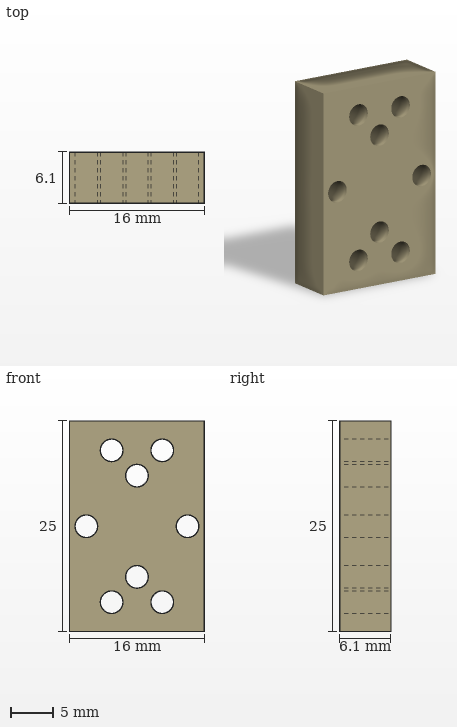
import cadquery as cq

width = 16.0
thickness = 6.1
height = 25.0

hole_diameter = 2.65
grid_pitch = 3.0

inner_offset = 2 * grid_pitch
corner_x = grid_pitch
corner_z = 3 * grid_pitch

inner_holes = [
    (-inner_offset, 0),
    (inner_offset, 0),
    (0, -inner_offset),
    (0, inner_offset),
]
corner_holes = [(sx * corner_x, sz * corner_z) for sx in (-1, 1) for sz in (-1, 1)]

block = cq.Workplane("XY").box(width, thickness, height)

cutters = (
    cq.Workplane("XZ")
    .pushPoints(inner_holes + corner_holes)
    .circle(hole_diameter / 2)
    .extrude(thickness, both=True)
)

result = block.cut(cutters)